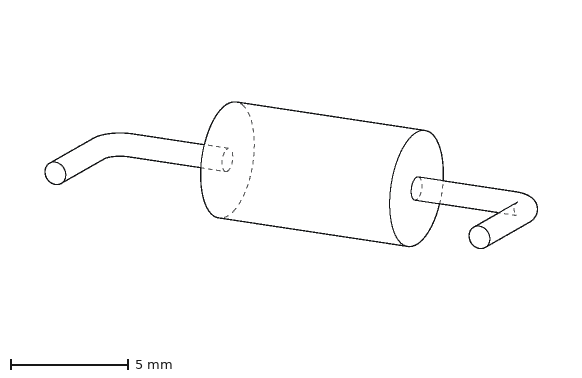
import cadquery as cq
import math

overall_length = 21.32
overall_depth = 7.6
body_diameter = 5.0
body_length = 9.06
wire_diameter = 1.0
bend_radius = 1.0

lead_x = (overall_length - wire_diameter) / 2
lead_end_y = body_diameter / 2 - overall_depth
bend_start_x = lead_x - bend_radius
bend_mid_x = bend_start_x + bend_radius * math.sin(math.pi / 4)
bend_mid_y = bend_radius * (math.cos(math.pi / 4) - 1)


def make_body():
    """Solid cylinder centred on the origin."""
    return (
        cq.Workplane("YZ", origin=(-body_length / 2, 0, 0))
        .circle(body_diameter / 2)
        .extrude(body_length)
    )


def make_wire():
    """Round wire along the body axis, with both ends bent towards -Y."""
    centreline = (
        cq.Workplane("XY")
        .moveTo(-lead_x, lead_end_y)
        .lineTo(-lead_x, -bend_radius)
        .threePointArc((-bend_mid_x, bend_mid_y), (-bend_start_x, 0))
        .lineTo(bend_start_x, 0)
        .threePointArc((bend_mid_x, bend_mid_y), (lead_x, -bend_radius))
        .lineTo(lead_x, lead_end_y)
    )
    return (
        cq.Workplane("XZ", origin=(-lead_x, lead_end_y, 0))
        .circle(wire_diameter / 2)
        .sweep(centreline)
    )


result = make_body().union(make_wire())